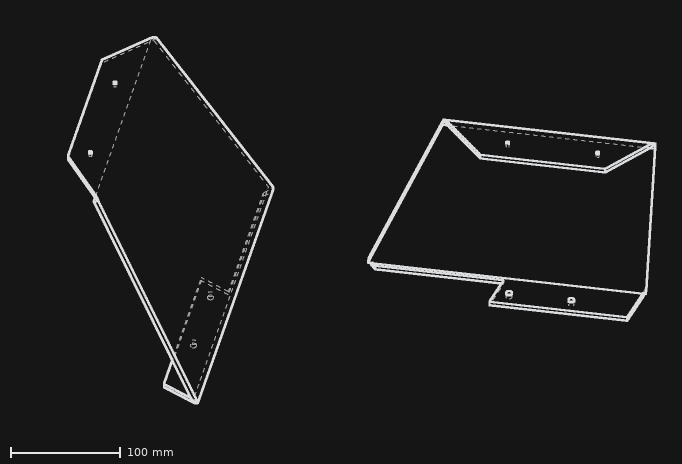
import cadquery as cq
import math

height = 306.3
thickness = 5.0
bend_heading = 17.6
sheet_excess = 30.5

top_bend_x = 77.0
bottom_bend_x = 164.8
top_bend_z = height - thickness
bottom_bend_z = thickness

plate_top_front = -25.5
plate_top_rear = 171.0
plate_bottom_front = -3.7
plate_bottom_rear = 253.3

top_flange_x = 41.0
top_hole_x = 59.7
top_hole_ys = (24.8, 108.0)
top_hole_diameter = 2.8

tab_x = 133.8
tab_front = 9.0
tab_rear = 136.3
lip_x = 162.0
tab_hole_x = 147.0
tab_hole_ys = (62.5, 120.0)
tab_hole_diameter = 5.5

plate_run = bottom_bend_x - top_bend_x
plate_drop = top_bend_z - bottom_bend_z
plate_length = math.hypot(plate_run, plate_drop)
lean_sin = plate_run / plate_length
lean_cos = plate_drop / plate_length
top_tangent_x = top_bend_x + thickness * lean_cos
bottom_outer_x = bottom_bend_x + thickness


def leaning_plate():
    """Flat quadrilateral between the bends, with its edges square to its faces."""
    plane = cq.Plane(
        origin=(top_bend_x, 0, top_bend_z),
        xDir=(0, 1, 0),
        normal=(lean_cos, 0, lean_sin),
    )
    outline = [
        (plate_top_front, 0),
        (plate_top_rear, 0),
        (plate_bottom_rear, -plate_length),
        (plate_bottom_front, -plate_length),
    ]
    return cq.Workplane(plane).polyline(outline).close().extrude(thickness)


def flange(bend_x, bend_z, free_x, outward, outline):
    """Horizontal flange with its rounded bend, trimmed to a plan outline."""
    lean_angle = math.atan2(lean_sin, lean_cos)
    middle_angle = (lean_angle + outward * math.pi / 2) / 2
    outer_z = bend_z + outward * thickness
    middle = (
        bend_x + thickness * math.cos(middle_angle),
        bend_z + thickness * math.sin(middle_angle),
    )
    tangent = (bend_x + thickness * lean_cos, bend_z + thickness * lean_sin)
    blank_front = plate_top_front - sheet_excess
    blank_rear = plate_bottom_rear + sheet_excess
    blank = (
        cq.Workplane("XZ", origin=(0, blank_front, 0))
        .moveTo(bend_x, bend_z)
        .lineTo(free_x, bend_z)
        .lineTo(free_x, outer_z)
        .lineTo(bend_x, outer_z)
        .threePointArc(middle, tangent)
        .close()
        .extrude(blank_front - blank_rear)
    )
    trim = cq.Workplane("XY").polyline(outline).close().extrude(height)
    return blank.intersect(trim)


def holes(x, ys, diameter, floor_z):
    """Row of vertical holes through one flange."""
    return (
        cq.Workplane("XY", origin=(0, 0, floor_z))
        .pushPoints([(x, y) for y in ys])
        .circle(diameter / 2)
        .extrude(thickness)
    )


def top_flange():
    taper = top_tangent_x - top_flange_x
    outline = [
        (top_tangent_x, plate_top_front),
        (top_tangent_x, plate_top_rear),
        (top_flange_x, plate_top_rear - taper),
        (top_flange_x, plate_top_front + taper),
    ]
    body = flange(top_bend_x, top_bend_z, top_flange_x, 1, outline)
    return body.cut(holes(top_hole_x, top_hole_ys, top_hole_diameter, top_bend_z))


def bottom_flange():
    end_slope = math.tan(math.radians(bend_heading))
    front_drop = (bottom_outer_x - tab_x) * end_slope
    notch_drop = (lip_x - tab_x) * end_slope
    lip_taper = bottom_outer_x - lip_x
    outline = [
        (bottom_outer_x, tab_front - front_drop),
        (bottom_outer_x, plate_bottom_rear),
        (lip_x, plate_bottom_rear - lip_taper),
        (lip_x, tab_rear - notch_drop),
        (tab_x, tab_rear),
        (tab_x, tab_front),
    ]
    body = flange(bottom_bend_x, bottom_bend_z, tab_x, -1, outline)
    return body.cut(holes(tab_hole_x, tab_hole_ys, tab_hole_diameter, 0))


result = (
    leaning_plate()
    .union(top_flange())
    .union(bottom_flange())
    .rotate((0, 0, 0), (0, 0, 1), bend_heading)
)